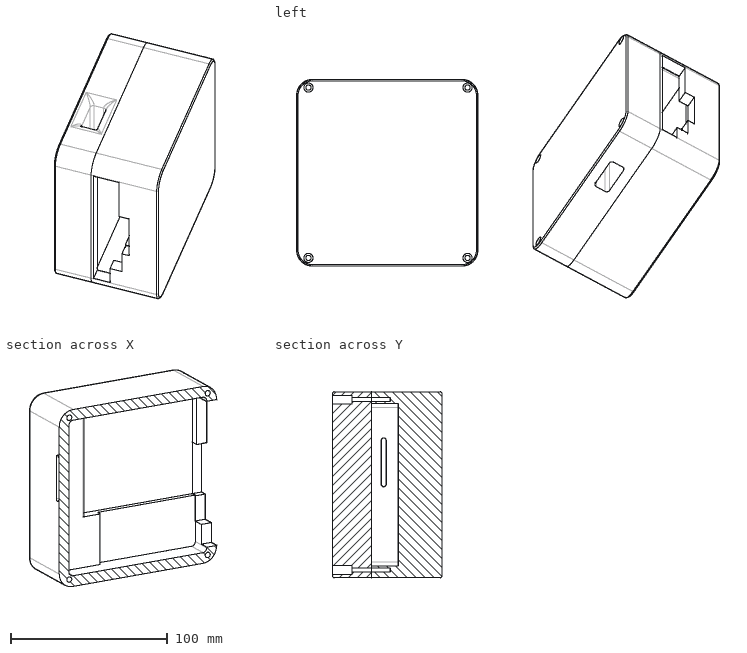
import cadquery as cq

DEPTH = 70.0
WIDTH = 115.5
HEIGHT = 119.0
CORNER_RADIUS = 10.2
RIM_CHAMFER = 1.0
LID_DEPTH = 25.0
FRONT_Y = -WIDTH / 2

SCREW_SPACING_Y = 101.4
SCREW_CENTER_Y = -0.5
SCREW_SPACING_Z = 108.5
COUNTERBORE_DIAMETER = 5.8
SCREW_DIAMETER = 3.3
COUNTERBORE_DEPTH = LID_DEPTH / 2
BLIND_DEPTH = 11.9

CHANNEL_SIZE_X = 10.5
CHANNEL_SIZE_Y = 21.0
CHANNEL_X = 12.7
CHANNEL_Y = -15.8
CHANNEL_CORNER_RADIUS = 2.0
FLARE_RADIUS = 5.0

WALL = 7.5
CAVITY_CORNER_RADIUS = CORNER_RADIUS - WALL
SHELF_X = 41.9
SHELF_ROUND = 1.0
UPPER_FLOOR_X = 49.0
LOWER_FLOOR_X = 45.5
FLOOR_STEP_Z = 41.4
UPPER_POCKET_LENGTH = 83.3
LOWER_POCKET_LENGTH = 71.4

OPENING_BACK_X = 26.7
OPENING_BOTTOM_Z = 10.7
OPENING_TOP_Z = HEIGHT - OPENING_BOTTOM_Z
OPENING_FOOT_X = 37.7
OPENING_FOOT_Z = 23.9
OPENING_LOWER_X = 45.7
OPENING_LOWER_Z = 40.8
OPENING_MIDDLE_X = 50.5
OPENING_MIDDLE_Z = 75.8
OPENING_UPPER_X = 43.7

SLOT_X = 32.7
SLOT_Z = 73.8
SLOT_LENGTH = 30.9
SLOT_WIDTH = 3.0


def box_between(x_range, y_range, z_range):
    """Axis-aligned box given by its limits along X, Y and Z."""
    (x0, x1), (y0, y1), (z0, z1) = x_range, y_range, z_range
    return cq.Workplane("XY").box(x1 - x0, y1 - y0, z1 - z0, centered=False).translate((x0, y0, z0))


def case_slab(x_start, x_end):
    """Slab of the case outline, with its four corners along X rounded."""
    y_range = (FRONT_Y, -FRONT_Y)
    return box_between((x_start, x_end), y_range, (0, HEIGHT)).edges("|X").fillet(CORNER_RADIUS)


def screw_cylinders(x_start, length, diameter):
    """Four cylinders along X, one at each corner screw."""
    return (
        cq.Workplane("YZ", origin=(x_start, SCREW_CENTER_Y, HEIGHT / 2))
        .rarray(SCREW_SPACING_Y, SCREW_SPACING_Z, 2, 2)
        .circle(diameter / 2)
        .extrude(length)
    )


def flared_profile(plane, throat, length):
    """Prism of the given length whose upright section widens to a quarter-round mouth at the top."""
    half = throat / 2
    mouth_half = half + FLARE_RADIUS
    throat_top = HEIGHT - FLARE_RADIUS
    return (
        cq.Workplane(plane)
        .moveTo(-half, 0)
        .lineTo(half, 0)
        .lineTo(half, throat_top)
        .radiusArc((mouth_half, HEIGHT), FLARE_RADIUS)
        .lineTo(-mouth_half, HEIGHT)
        .radiusArc((-half, throat_top), FLARE_RADIUS)
        .close()
        .extrude(length / 2, both=True)
    )


def channel():
    """Through channel with a flared mouth whose rounded throat corners fade out along its mitres."""
    mouth_x = CHANNEL_SIZE_X + 2 * FLARE_RADIUS
    mouth_y = CHANNEL_SIZE_Y + 2 * FLARE_RADIUS
    across_x = flared_profile("XZ", CHANNEL_SIZE_X, mouth_y)
    across_y = flared_profile("YZ", CHANNEL_SIZE_Y, mouth_x)
    body = across_x.intersect(across_y)
    upright_and_mitre_edges = "|Z or (not (#Z or |Z))"
    body = body.edges(upright_and_mitre_edges).fillet(CHANNEL_CORNER_RADIUS)
    return body.translate((CHANNEL_X, CHANNEL_Y, 0))


def make_lid():
    """Solid back part of the case, with the channel and the counterbored screw holes."""
    lid = case_slab(0, LID_DEPTH).faces("<X").chamfer(RIM_CHAMFER)
    lid = lid.cut(channel())
    lid = lid.cut(screw_cylinders(0, LID_DEPTH, SCREW_DIAMETER))
    return lid.cut(screw_cylinders(0, COUNTERBORE_DEPTH, COUNTERBORE_DIAMETER))


def pocket(floor_x, length, z_range):
    """Deep part of the cavity: it starts at the front wall and its far edge is rounded at the shelf."""
    y_start = FRONT_Y + WALL
    y_end = y_start + length
    deep = box_between((LID_DEPTH, floor_x), (y_start, y_end), z_range)
    z0, z1 = z_range
    rounding = (
        cq.Workplane("XY", origin=(0, 0, z0))
        .moveTo(SHELF_X, y_end)
        .lineTo(SHELF_X, y_end + SHELF_ROUND)
        .radiusArc((SHELF_X + SHELF_ROUND, y_end), -SHELF_ROUND)
        .close()
        .extrude(z1 - z0)
    )
    return deep.union(rounding)


def cavity():
    """Stepped hollow of the housing: a shallow space over the shelf and two deeper pockets."""
    y_inner = -FRONT_Y - WALL
    z_inner = (WALL, HEIGHT - WALL)
    shelf_space = box_between((LID_DEPTH, SHELF_X), (-y_inner, y_inner), z_inner)
    upper = pocket(UPPER_FLOOR_X, UPPER_POCKET_LENGTH, (FLOOR_STEP_Z, HEIGHT - WALL))
    lower = pocket(LOWER_FLOOR_X, LOWER_POCKET_LENGTH, (WALL, FLOOR_STEP_Z))
    envelope = (
        box_between((LID_DEPTH, UPPER_FLOOR_X), (-y_inner, y_inner), z_inner)
        .edges("|X")
        .fillet(CAVITY_CORNER_RADIUS)
    )
    return shelf_space.union(upper).union(lower).intersect(envelope)


def front_opening():
    """Stepped cutter through the front wall."""
    return (
        cq.Workplane("XZ", origin=(0, FRONT_Y + WALL, 0))
        .moveTo(OPENING_BACK_X, OPENING_BOTTOM_Z)
        .lineTo(OPENING_FOOT_X, OPENING_BOTTOM_Z)
        .lineTo(OPENING_FOOT_X, OPENING_FOOT_Z)
        .lineTo(OPENING_LOWER_X, OPENING_FOOT_Z)
        .lineTo(OPENING_LOWER_X, OPENING_LOWER_Z)
        .lineTo(OPENING_MIDDLE_X, OPENING_LOWER_Z)
        .lineTo(OPENING_MIDDLE_X, OPENING_MIDDLE_Z)
        .lineTo(OPENING_UPPER_X, OPENING_MIDDLE_Z)
        .lineTo(OPENING_UPPER_X, OPENING_TOP_Z)
        .lineTo(OPENING_BACK_X, OPENING_TOP_Z)
        .close()
        .extrude(WALL)
    )


def far_slot():
    """Round-ended upright cutter through the far wall."""
    return (
        cq.Workplane("XZ", origin=(SLOT_X, -FRONT_Y, SLOT_Z))
        .slot2D(SLOT_LENGTH, SLOT_WIDTH, angle=90)
        .extrude(WALL)
    )


def make_housing():
    """Hollow main part of the case, with the front opening, the far slot and the screw holes."""
    housing = case_slab(LID_DEPTH, DEPTH).faces(">X").chamfer(RIM_CHAMFER)
    housing = housing.cut(cavity())
    housing = housing.cut(front_opening())
    housing = housing.cut(far_slot())
    return housing.cut(screw_cylinders(LID_DEPTH, BLIND_DEPTH, SCREW_DIAMETER))


lid = make_lid()
housing = make_housing()

result = cq.Compound.makeCompound([lid.val(), housing.val()])